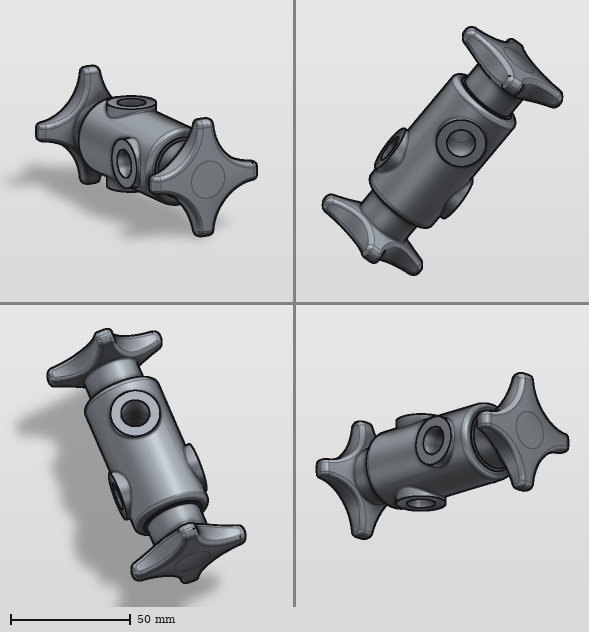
import cadquery as cq
import math

half_length = 51.5

housing_half_length = 29.8
housing_radius = 16.7
housing_round = 2.3

boss_offset = 12.7
boss_radius = 10.4
boss_half_length = 18.0
boss_root_round = 0.5
bore_radius = 6.0

washer_radius = 13.1
washer_thickness = 0.3

hub_radius = 11.9
hub_end_round = 0.5
hub_root_round = 0.4
hub_start = housing_half_length + washer_thickness

knob_radius = 50.8 / 2
crown_radius = 8.0
face_slope = math.tan(math.radians(2.0))
back_slope = math.tan(math.radians(16.5))
rim_thickness = 6.2
rim_round = 3.0
core_radius = 8.2
scallop_radius = 20.2
scallop_offset = 24.0
arm_half_width = scallop_offset - scallop_radius
star_edge_round = 2.0

rim_front_x = half_length - (knob_radius - crown_radius) * face_slope
rim_back_x = rim_front_x - rim_thickness


def back_face_x(radius):
    """X position of the sloped back face of a knob at a distance from the axis."""
    return rim_back_x - (knob_radius - radius) * back_slope


def x_cylinder(radius, x_start, x_end):
    return cq.Workplane("YZ", origin=(x_start, 0, 0)).circle(radius).extrude(x_end - x_start)


def cross_cylinder(plane, x, radius):
    """Cylinder square to the plane, centred on the long axis and as long as a boss tube."""
    return cq.Workplane(plane, origin=(x, 0, 0)).circle(radius).extrude(boss_half_length, both=True)


def make_housing():
    body = x_cylinder(housing_radius, -housing_half_length, housing_half_length)
    body = body.faces("|X").edges().fillet(housing_round)

    tubes = [("XY", -boss_offset), ("XZ", boss_offset)]
    for plane, x in tubes:
        body = body.union(cross_cylinder(plane, x, boss_radius))
    body = body.edges("not(%CIRCLE or %LINE)").fillet(boss_root_round)
    for plane, x in tubes:
        body = body.cut(cross_cylinder(plane, x, bore_radius))
    return body


def make_washer():
    return x_cylinder(washer_radius, housing_half_length, hub_start)


def make_knob_disc():
    core_x = back_face_x(core_radius)
    disc = (
        cq.Workplane("XY")
        .moveTo(half_length, 0)
        .lineTo(half_length, crown_radius)
        .lineTo(rim_front_x, knob_radius)
        .lineTo(rim_back_x, knob_radius)
        .lineTo(core_x, core_radius)
        .lineTo(core_x, 0)
        .close()
        .revolve(360, (0, 0, 0), (1, 0, 0))
    )
    return disc.faces("%CYLINDER").edges("%CIRCLE").fillet(rim_round)


def make_star():
    scallop_cutter = (
        cq.Workplane("YZ")
        .rect(2 * scallop_offset, 2 * scallop_offset, forConstruction=True)
        .vertices()
        .circle(scallop_radius)
        .extrude(half_length)
    )
    star = make_knob_disc().cut(scallop_cutter)
    scallop_walls = star.faces("%CYLINDER").filter(
        lambda wall: min(abs(wall.Center().y), abs(wall.Center().z)) > arm_half_width
    )
    return star.newObject(scallop_walls.edges().vals()).fillet(star_edge_round)


def make_knob():
    hub_end = back_face_x(hub_radius)
    hub = x_cylinder(hub_radius, hub_start, half_length - rim_thickness)
    hub = hub.faces("<X").edges().fillet(hub_end_round)
    knob = make_star().union(hub)
    hub_root = knob.edges("%CIRCLE").filter(lambda edge: abs(edge.Center().x - hub_end) < hub_root_round / 2)
    return knob.newObject(hub_root.vals()).fillet(hub_root_round)


housing = make_housing()
washer = make_washer()
knob = make_knob()
washers = [washer, washer.mirror("YZ")]
knobs = [knob, knob.mirror("YZ")]

result = cq.Compound.makeCompound([body.val() for body in [housing, *washers, *knobs]])